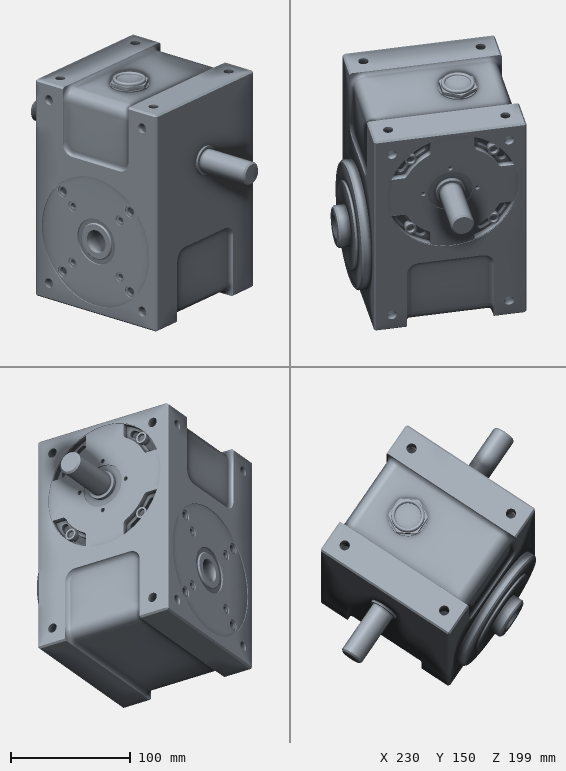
import cadquery as cq
import math


BODY_X = 130.0
BODY_Y = 130.0
BODY_Z = 195.0
AXIS_ABOVE_BASE = 65.0
AXIS_DISTANCE = 70.0
BASE_Z = -AXIS_ABOVE_BASE
TOP_Z = BASE_Z + BODY_Z
MID_Z = (BASE_Z + TOP_Z) / 2
BODY_CHAMFER = 1.5

TOP_RELIEF_WIDTH = 70.4
TOP_RELIEF_END_Z = AXIS_DISTANCE
BOTTOM_RELIEF_WIDTH = 74.4
BOTTOM_RELIEF_END_Z = 0.0
RELIEF_DEPTH = 3.0
RELIEF_CORNER_RADIUS = 10.0
RELIEF_ROOT_RADIUS = 4.0
RELIEF_OVERSHOOT = 5.0

MOUNT_HOLE_DIAMETER = 8.5
MOUNT_HOLE_DEPTH = 20.0
MOUNT_HALF_SPACING = 50.0
MOUNT_EDGE_DISTANCE = 15.0
DRILL_POINT_ANGLE = 118.0

SHAFT_LENGTH = 230.0
SHAFT_DIAMETER = 20.0
SHAFT_CHAMFER = 1.5
COLLAR_DIAMETER = 25.0
COLLAR_PROJECTION = 2.0
SHAFT_SEAL_DIAMETER = 38.0
SHAFT_SEAL_DEPTH = 1.0
SEAL_HOLE_DIAMETER = 4.0
SEAL_HOLE_DEPTH = 4.0
SEAL_HOLE_RADIUS = 23.0
FLANGE_CENTRE_Y = -2.0
FLANGE_RADIUS = 56.0
FLANGE_SETBACK = 0.5
POCKET_OUTER_RADIUS = 55.5
POCKET_INNER_RADIUS = 44.0
POCKET_SIDE_OFFSET = 18.7
POCKET_CORNER_RADIUS = 4.0
POCKET_DEPTH = 6.0
SLOT_PITCH_RADIUS = 50.0
SLOT_HALF_ANGLE = 14.8
SLOT_WIDTH = 6.6
SLOT_DEPTH = 4.0

SCREW_HEAD_DIAMETER = 10.0
SCREW_HEAD_HEIGHT = 6.0
SCREW_HEAD_SINK = 2.0
SCREW_SHANK_DIAMETER = 6.0
SCREW_SOCKET_DIAMETER = 7.0
SCREW_SOCKET_DEPTH = 3.0

COVER_DIAMETER = 115.0
COVER_SETBACK = 0.8
SEAL_RECESS_DIAMETER = 40.4
SEAL_RECESS_DEPTH = 1.5
SLEEVE_DIAMETER = 32.0
SLEEVE_CHAMFER = 0.8
OUTPUT_BORE = 20.0
OUTER_SCREW_OFFSET = 36.0
OUTER_SCREW_HOLE = 10.0
OUTER_SCREW_SOCKET = 7.0
INNER_SCREW_OFFSET = 25.4
INNER_SCREW_HOLE = 9.0
INNER_SCREW_SOCKET = 5.0
SUNK_SCREW_DEPTH = 1.0
SUNK_SOCKET_DEPTH = 3.0

OUTPUT_STEPS = ((110.0, 8.0, 1.5), (76.0, 2.0, 0.5), (36.0, 10.0, 1.5))

PLUG_Y = -20.0
PLUG_BODY_DIAMETER = 32.6
PLUG_WASHER_HEIGHT = 1.0
PLUG_HEX_FLATS = 29.0
PLUG_HEX_HEIGHT = 3.3
PLUG_RIM_DIAMETER = 28.0
PLUG_WINDOW_DIAMETER = 21.6
PLUG_TOTAL_HEIGHT = 7.0

FRONT_Y = -BODY_Y / 2
BACK_Y = BODY_Y / 2
LEFT_X = -BODY_X / 2
RELIEF_FLOOR_Z = TOP_Z - RELIEF_DEPTH
INPUT_AXIS_Z = AXIS_DISTANCE

FRONT_PLANE = cq.Plane(origin=(0, FRONT_Y, 0), xDir=(1, 0, 0), normal=(0, -1, 0))
BACK_PLANE = cq.Plane(origin=(0, BACK_Y, 0), xDir=(-1, 0, 0), normal=(0, 1, 0))
LEFT_PLANE = cq.Plane(origin=(LEFT_X, 0, INPUT_AXIS_Z), xDir=(0, -1, 0), normal=(-1, 0, 0))


def square_pattern(half_x, half_y):
    return [(x, y) for x in (-half_x, half_x) for y in (-half_y, half_y)]


def relief_band(width, end_z, half_span, outer_z):
    """Cutter for a shallow band wrapped over three faces of the body.

    The band lies within +-width/2 in X. It removes the skin of the face at outer_z and of
    the two faces at +-half_span in Y, where it stops at end_z.
    """
    direction = 1 if outer_z > end_z else -1
    reach_z = outer_z + direction * RELIEF_OVERSHOOT
    floor_z = outer_z - direction * RELIEF_DEPTH
    floor_y = half_span - RELIEF_DEPTH
    reach_y = half_span + RELIEF_OVERSHOOT
    end_side = "<Z" if direction > 0 else ">Z"
    floor_side = ">Z" if direction > 0 else "<Z"

    window = (
        cq.Workplane("XY")
        .box(width, 2 * reach_y, abs(reach_z - end_z))
        .translate((0, 0, (reach_z + end_z) / 2))
        .faces(end_side).edges("|Y").fillet(RELIEF_CORNER_RADIUS)
    )
    core_end_z = end_z - direction * RELIEF_OVERSHOOT
    core = (
        cq.Workplane("XY")
        .box(2 * width, 2 * floor_y, abs(floor_z - core_end_z))
        .translate((0, 0, (floor_z + core_end_z) / 2))
        .faces(floor_side).edges("|X").fillet(RELIEF_CORNER_RADIUS)
    )
    straight_floor_edge = cq.selectors.NearestToPointSelector((width / 2, 0, floor_z))
    return window.cut(core).edges(straight_floor_edge).fillet(RELIEF_ROOT_RADIUS)


def make_body():
    body = (
        cq.Workplane("XY", origin=(0, 0, MID_Z))
        .box(BODY_X, BODY_Y, BODY_Z)
        .edges().chamfer(BODY_CHAMFER)
    )
    top_band = relief_band(TOP_RELIEF_WIDTH, TOP_RELIEF_END_Z, BODY_Y / 2, TOP_Z)
    bottom_band = relief_band(
        BOTTOM_RELIEF_WIDTH, BOTTOM_RELIEF_END_Z, BODY_X / 2, BASE_Z
    ).rotate((0, 0, 0), (0, 0, 1), 90)
    return body.cut(top_band).cut(bottom_band)


def drill(plane, points):
    """Blind holes with conical ends, drilled inward from the plane."""
    radius = MOUNT_HOLE_DIAMETER / 2
    point_length = radius / math.tan(math.radians(DRILL_POINT_ANGLE / 2))
    hole = (
        cq.Workplane("XZ")
        .polyline([
            (0, 0),
            (radius, 0),
            (radius, -MOUNT_HOLE_DEPTH),
            (0, -MOUNT_HOLE_DEPTH - point_length),
        ])
        .close()
        .revolve(360, (0, 0, 0), (0, 1, 0))
        .val()
    )
    return cq.Workplane(plane).pushPoints(points).eachpoint(lambda place: hole.moved(place), True)


def mounting_holes():
    half_height = BODY_Z / 2 - MOUNT_EDGE_DISTANCE
    side_points = square_pattern(MOUNT_HALF_SPACING, half_height)
    flat_points = square_pattern(MOUNT_HALF_SPACING, MOUNT_HALF_SPACING)
    front = cq.Plane((0, FRONT_Y, MID_Z), (1, 0, 0), (0, -1, 0))
    left = cq.Plane((LEFT_X, 0, MID_Z), (0, 1, 0), (-1, 0, 0))
    top = cq.Plane((0, 0, TOP_Z), (1, 0, 0), (0, 0, 1))
    return drill(front, side_points).add(drill(left, side_points)).add(drill(top, flat_points))


def front_cover_recess():
    disc = cq.Workplane(FRONT_PLANE).circle(COVER_DIAMETER / 2).extrude(-COVER_SETBACK)
    face = cq.Workplane(FRONT_PLANE).workplane(offset=-COVER_SETBACK)
    seal_recess = face.circle(SEAL_RECESS_DIAMETER / 2).extrude(-SEAL_RECESS_DEPTH)
    sleeve_end = (
        face.circle(SLEEVE_DIAMETER / 2)
        .extrude(-SEAL_RECESS_DEPTH)
        .faces("<Y").chamfer(SLEEVE_CHAMFER)
    )
    return disc.union(seal_recess.cut(sleeve_end))


def sunk_screws(offset, hole_diameter, socket_diameter):
    """Shallow holes down to the screw heads, with a round socket in each head."""
    points = square_pattern(offset, offset)
    depth = COVER_SETBACK + SUNK_SCREW_DEPTH
    holes = cq.Workplane(FRONT_PLANE).pushPoints(points).circle(hole_diameter / 2).extrude(-depth)
    sockets = (
        cq.Workplane(FRONT_PLANE)
        .pushPoints(points)
        .circle(socket_diameter / 2)
        .extrude(-depth - SUNK_SOCKET_DEPTH)
    )
    return holes.union(sockets)


def polar(radius, degrees):
    angle = math.radians(degrees)
    return (radius * math.cos(angle), radius * math.sin(angle))


def flange_pocket():
    """One corner pocket with its curved slot, at 45 degrees on the left plane."""
    plane = cq.Workplane(LEFT_PLANE).center(-FLANGE_CENTRE_Y, 0)
    sector = (
        plane.circle(POCKET_OUTER_RADIUS).circle(POCKET_INNER_RADIUS).extrude(-POCKET_DEPTH)
    )
    quadrant = (
        plane.moveTo(POCKET_SIDE_OFFSET, POCKET_SIDE_OFFSET)
        .rect(FLANGE_RADIUS, FLANGE_RADIUS, centered=False)
        .extrude(-POCKET_DEPTH)
    )
    corner = math.sqrt(POCKET_INNER_RADIUS ** 2 - POCKET_SIDE_OFFSET ** 2)
    pocket = sector.intersect(quadrant)
    for side, up in ((POCKET_SIDE_OFFSET, corner), (corner, POCKET_SIDE_OFFSET)):
        place = LEFT_PLANE.toWorldCoords((side - FLANGE_CENTRE_Y, up, -POCKET_DEPTH / 2))
        nearest = cq.selectors.NearestToPointSelector(place.toTuple())
        pocket = pocket.edges(nearest).fillet(POCKET_CORNER_RADIUS)

    inner = SLOT_PITCH_RADIUS - SLOT_WIDTH / 2
    outer = SLOT_PITCH_RADIUS + SLOT_WIDTH / 2
    start = 45 - SLOT_HALF_ANGLE
    end = 45 + SLOT_HALF_ANGLE
    cap_angle = math.degrees(SLOT_WIDTH / 2 / SLOT_PITCH_RADIUS)
    slot = (
        plane.moveTo(*polar(inner, start))
        .threePointArc(polar(inner, 45), polar(inner, end))
        .threePointArc(polar(SLOT_PITCH_RADIUS, end + cap_angle), polar(outer, end))
        .threePointArc(polar(outer, 45), polar(outer, start))
        .threePointArc(polar(SLOT_PITCH_RADIUS, start - cap_angle), polar(inner, start))
        .close()
        .extrude(-POCKET_DEPTH - SLOT_DEPTH)
    )
    return pocket.union(slot)


def flange_screw():
    """The socket-head screw standing in the pocket at 45 degrees on the left plane."""
    seat = (
        cq.Workplane(LEFT_PLANE)
        .center(-FLANGE_CENTRE_Y, 0)
        .center(*polar(SLOT_PITCH_RADIUS, 45))
    )
    head = (
        seat.workplane(offset=-SCREW_HEAD_SINK)
        .circle(SCREW_HEAD_DIAMETER / 2)
        .extrude(-SCREW_HEAD_HEIGHT)
    )
    shank = (
        seat.workplane(offset=-POCKET_DEPTH)
        .circle(SCREW_SHANK_DIAMETER / 2)
        .extrude(-SLOT_DEPTH)
    )
    socket = (
        seat.workplane(offset=-SCREW_HEAD_SINK)
        .circle(SCREW_SOCKET_DIAMETER / 2)
        .extrude(-SCREW_SOCKET_DEPTH)
    )
    return head.union(shank).cut(socket)


def at_four_corners(shape):
    """The shape and its mirror images about the flange centre, as separate solids."""
    pair = [shape, shape.mirror("XZ", (0, FLANGE_CENTRE_Y, 0))]
    return pair + [item.mirror("XY", (0, 0, INPUT_AXIS_Z)) for item in pair]


def add_flange_pockets(body):
    for pocket in at_four_corners(flange_pocket()):
        body = body.cut(pocket)
    for screw in at_four_corners(flange_screw()):
        body = body.union(screw)
    return body


def input_flange_recess():
    """The flange face set back from the body, and the shaft seal recess sunk into it."""
    flange_face = (
        cq.Workplane(LEFT_PLANE)
        .center(-FLANGE_CENTRE_Y, 0)
        .circle(FLANGE_RADIUS)
        .extrude(-FLANGE_SETBACK)
    )
    seal_recess = (
        cq.Workplane(LEFT_PLANE)
        .circle(SHAFT_SEAL_DIAMETER / 2)
        .extrude(-FLANGE_SETBACK - SHAFT_SEAL_DEPTH)
    )
    return flange_face.union(seal_recess)


def seal_holes():
    return (
        cq.Workplane(LEFT_PLANE)
        .polarArray(SEAL_HOLE_RADIUS, 0, 360, 4)
        .circle(SEAL_HOLE_DIAMETER / 2)
        .extrude(-SEAL_HOLE_DEPTH)
    )


def input_shaft():
    collar_length = BODY_X + 2 * COLLAR_PROJECTION
    axis_plane = cq.Workplane("YZ", origin=(0, 0, INPUT_AXIS_Z))
    shaft = (
        axis_plane.circle(SHAFT_DIAMETER / 2)
        .extrude(SHAFT_LENGTH / 2, both=True)
        .faces("<X or >X").chamfer(SHAFT_CHAMFER)
    )
    collar = axis_plane.circle(COLLAR_DIAMETER / 2).extrude(collar_length / 2, both=True)
    return shaft.union(collar)


def output_flange():
    flange = cq.Workplane(BACK_PLANE)
    height = 0.0
    for diameter, thickness, chamfer in OUTPUT_STEPS:
        step = (
            cq.Workplane(BACK_PLANE)
            .workplane(offset=height)
            .circle(diameter / 2)
            .extrude(thickness)
            .faces(">Y").chamfer(chamfer)
        )
        flange = flange.add(step)
        height += thickness
    return flange.combine()


def output_bore():
    length = BODY_Y + sum(thickness for _, thickness, _ in OUTPUT_STEPS)
    return cq.Workplane(FRONT_PLANE).circle(OUTPUT_BORE / 2).extrude(-length)


def sight_plug():
    base = cq.Workplane("XY", origin=(0, PLUG_Y, RELIEF_FLOOR_Z))
    washer = base.circle(PLUG_BODY_DIAMETER / 2).extrude(PLUG_WASHER_HEIGHT)
    hex_top = PLUG_WASHER_HEIGHT + PLUG_HEX_HEIGHT
    hexagon = (
        base.polygon(6, PLUG_HEX_FLATS / math.cos(math.pi / 6))
        .extrude(hex_top)
        .intersect(base.circle(PLUG_BODY_DIAMETER / 2).extrude(hex_top))
    )
    rim_radius = PLUG_RIM_DIAMETER / 2
    window_radius = PLUG_WINDOW_DIAMETER / 2
    bead_radius = (rim_radius - window_radius) / 2
    window_height = PLUG_TOTAL_HEIGHT - bead_radius
    rim = (
        cq.Workplane("XZ", origin=(0, PLUG_Y, RELIEF_FLOOR_Z))
        .lineTo(rim_radius, 0)
        .lineTo(rim_radius, window_height)
        .threePointArc(
            (rim_radius - bead_radius, PLUG_TOTAL_HEIGHT), (window_radius, window_height)
        )
        .lineTo(0, window_height)
        .close()
        .revolve(360, (0, 0, 0), (0, 1, 0))
    )
    return washer.union(hexagon).union(rim)


housing = (
    make_body()
    .cut(mounting_holes())
    .cut(front_cover_recess())
    .cut(sunk_screws(OUTER_SCREW_OFFSET, OUTER_SCREW_HOLE, OUTER_SCREW_SOCKET))
    .cut(sunk_screws(INNER_SCREW_OFFSET, INNER_SCREW_HOLE, INNER_SCREW_SOCKET))
    .cut(input_flange_recess())
    .cut(seal_holes())
)

result = (
    add_flange_pockets(housing)
    .union(input_shaft())
    .union(output_flange())
    .union(sight_plug())
    .cut(output_bore())
)